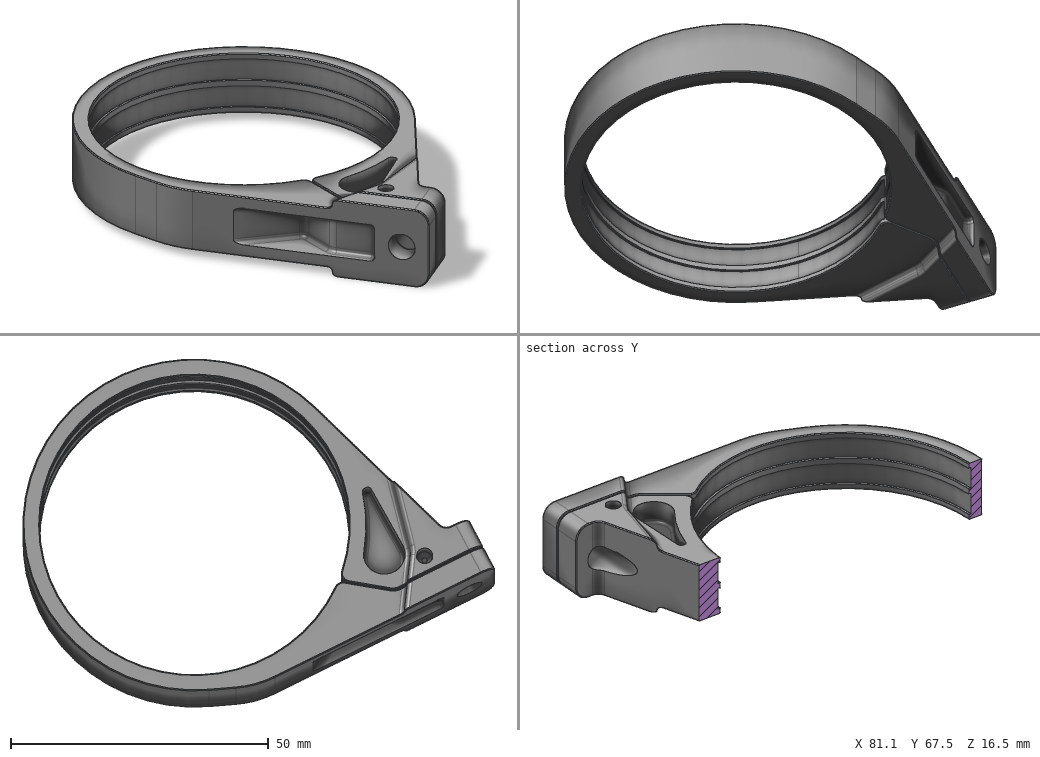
import cadquery as cq
import math

bore_radius = 30.0
ring_radius = 33.25
ring_height = 12.7
ear_height = 16.5
ear_end_x = 47.88
front_y = -34.28
ear_back_y = -23.25
ear_corner_radius = 3.0
edge_break = 0.2

back_flank_tilt = 18.0
back_flank_blend = 2.0
front_flank_tilt = 22.2
front_flank_blend = 20.5

step_start = (28.15, front_y)
step_bend = (34.85, -23.95)
step_end = (39.33, -4.95)
step_bend_radius = 5.0
step_blend = (ear_height - ring_height) / 4 - 0.01

rib_height = 1.2
groove_depth = 0.5

slit_width = 0.2
slit_y = -29.35
slit_bend_x = 28.72
slit_tilt = 37.0
slit_bend_radius = 3.0
slit_mouth_radius = 1.7

wall_radius = 33.25
front_pocket_end_x = 36.85
front_pocket_height = 7.8
front_pocket_floor_y = -32.4
front_pocket_apex_x = 20.65
front_pocket_start_x = 8.25
front_pocket_apex_radius = 1.75
front_pocket_bend_radius = 2.75
front_pocket_end_radius = 1.1
front_pocket_edge_blend = 1.0

teardrop_bearing = -36.1
teardrop_radius = 4.0
teardrop_tip = (33.75, -8.45)
teardrop_depth = 4.6
teardrop_tip_radius = 0.78
teardrop_floor_blend = 0.75

bolt_x = 42.35
bolt_diameter = 5.4
pin_centre = (36.7, -26.25)
pin_radius = 1.55
pin_tip_radius = 0.5
pin_depth = 3.0
pin_cone_height = 0.6

angle_tolerance = 0.01
line_tolerance = 0.1
step_line_tolerance = 0.3
reach = 100.0


def polar(radius, degrees, centre=(0, 0)):
    """Point at a radius and bearing from a centre."""
    angle = math.radians(degrees)
    return (centre[0] + radius * math.cos(angle), centre[1] + radius * math.sin(angle))


def near(x, y, size=line_tolerance):
    """Selector for upright edges standing close to (x, y)."""
    return cq.selectors.BoxSelector((x - size, y - size, -reach), (x + size, y + size, reach))


def near_y(y):
    """Selector for edges lying at a given y."""
    low = (-reach, y - line_tolerance, -reach)
    high = (reach, y + line_tolerance, reach)
    return cq.selectors.BoxSelector(low, high)


def outline(height):
    """Ring disc with two tangent flanks running into the ear."""
    back_tangent = polar(ring_radius, back_flank_tilt)
    front_tangent = polar(ring_radius, 270 - front_flank_tilt)
    back_tilt = math.radians(back_flank_tilt)
    front_tilt = math.radians(front_flank_tilt)
    back_corner_x = back_tangent[0] + (back_tangent[1] - ear_back_y) * math.tan(back_tilt)
    front_corner_x = front_tangent[0] + (front_tangent[1] - front_y) / math.tan(front_tilt)
    body = (
        cq.Workplane("XY")
        .workplane(offset=-height / 2)
        .moveTo(*back_tangent)
        .threePointArc(polar(ring_radius, 135), front_tangent)
        .lineTo(front_corner_x, front_y)
        .lineTo(ear_end_x, front_y)
        .lineTo(ear_end_x, ear_back_y)
        .lineTo(back_corner_x, ear_back_y)
        .close()
        .extrude(height)
    )
    body = body.edges(near(back_corner_x, ear_back_y)).fillet(back_flank_blend)
    return body.edges(near(front_corner_x, front_y)).fillet(front_flank_blend)


def ear():
    """Full-height part of the outline beyond the step line."""
    region = (
        cq.Workplane("XY")
        .workplane(offset=-ear_height / 2)
        .polyline([step_start, (ear_end_x, front_y), (ear_end_x, step_end[1]), step_end, step_bend])
        .close()
        .extrude(ear_height)
        .edges(near(*step_bend))
        .fillet(step_bend_radius)
    )
    return outline(ear_height).intersect(region)


def blend_step(body):
    """Concave blend at the foot and convex blend at the brow of both steps."""
    def is_step_edge(edge):
        point = edge.Center()
        start, end = (step_start, step_bend) if point.y < step_bend[1] else (step_bend, step_end)
        run_x, run_y = end[0] - start[0], end[1] - start[1]
        area = (point.x - start[0]) * run_y - (point.y - start[1]) * run_x
        is_level = abs(edge.tangentAt(0.5).z) < angle_tolerance
        return is_level and abs(area) / math.hypot(run_x, run_y) < step_line_tolerance

    return body.newObject([edge for edge in body.edges().vals() if is_step_edge(edge)]).fillet(step_blend)


def break_edges(body):
    """Small chamfer wherever an upright side of the part meets another face, end face aside."""
    def is_side(face):
        normal = face.normalAt()
        return abs(normal.z) < angle_tolerance and normal.x < 1 - angle_tolerance

    def is_rim(edge):
        return sum(is_side(face) for face in sides if edge in face.Edges()) == 1

    sides = [face for face in body.faces().vals() if is_side(face)]
    return body.newObject([edge for edge in body.edges().vals() if is_rim(edge)]).chamfer(edge_break)


def slit_mouth():
    """Point where the centre line of the slit meets the bore."""
    along = polar(1, -slit_tilt)
    across = polar(1, 90 - slit_tilt)
    clearance = slit_bend_x * across[0] + slit_y * across[1]
    travel = math.sqrt(bore_radius ** 2 - clearance ** 2)
    return (clearance * across[0] + travel * along[0], clearance * across[1] + travel * along[1])


def slit():
    """Thin cut from the bore to the ear end, bent once."""
    tilt = math.radians(slit_tilt)
    half = slit_width / 2
    shift = half * math.tan(tilt / 2)
    leg_x = slit_bend_x / 2
    leg_y = leg_x * math.tan(tilt)
    inner_end = (slit_bend_x - leg_x, slit_y + leg_y)
    normal_bearing = 90 - slit_tilt
    upper_bend = (slit_bend_x + shift, slit_y + half)
    lower_bend = (slit_bend_x - shift, slit_y - half)
    cutter = (
        cq.Workplane("XY")
        .workplane(offset=-ear_height)
        .polyline([
            (reach, slit_y - half),
            (reach, slit_y + half),
            upper_bend,
            polar(half, normal_bearing, inner_end),
            polar(-half, normal_bearing, inner_end),
            lower_bend,
        ])
        .close()
        .extrude(2 * ear_height)
    )
    cutter = cutter.edges(near(*upper_bend, size=slit_width / 4)).fillet(slit_bend_radius - half)
    return cutter.edges(near(*lower_bend, size=slit_width / 4)).fillet(slit_bend_radius + half)


def cut_bore_and_slit(body):
    """Plain bore and slit, with the slit mouth rounded into the bore."""
    bore = cq.Workplane("XY").circle(bore_radius).extrude(ring_height, both=True)
    body = body.cut(bore).cut(slit())
    mouth = near(*slit_mouth(), size=2 * slit_width)
    return body.edges("|Z").edges(mouth).fillet(slit_mouth_radius)


def bore_grooves():
    """Two wide shallow grooves that leave a rib at each rim and one between."""
    groove_height = (ring_height - 3 * rib_height) / 2
    groove = cq.Workplane("XY").circle(bore_radius + groove_depth).extrude(groove_height)
    upper = groove.translate((0, 0, rib_height / 2))
    lower = groove.translate((0, 0, -rib_height / 2 - groove_height))
    return upper.union(lower)


def front_pocket():
    """Pocket in the front face: a ramp, a rise along the slit and a flat floor."""
    tilt = math.tan(math.radians(slit_tilt))
    offset = slit_y - front_pocket_floor_y
    bend_x = slit_bend_x - offset * math.tan(math.radians(slit_tilt / 2))
    apex = (front_pocket_apex_x, front_pocket_floor_y + (bend_x - front_pocket_apex_x) * tilt)
    bend = (bend_x, front_pocket_floor_y)
    half = front_pocket_height / 2
    cutter = (
        cq.Workplane("XY")
        .workplane(offset=-half)
        .polyline([
            (front_pocket_start_x, front_y),
            apex,
            bend,
            (front_pocket_end_x, front_pocket_floor_y),
            (front_pocket_end_x, front_y),
        ])
        .close()
        .extrude(front_pocket_height)
    )
    cutter = cutter.edges(near(*apex)).fillet(front_pocket_apex_radius)
    cutter = cutter.edges(near(*bend)).fillet(front_pocket_bend_radius)
    cutter = cutter.edges(near(front_pocket_end_x, front_pocket_floor_y)).fillet(front_pocket_end_radius)
    mouth = near_y(front_y)
    return cutter.edges("#Z").edges(cq.selectors.InverseSelector(mouth)).fillet(front_pocket_edge_blend)


def teardrop_pocket():
    """Blind pocket between a wall concentric with the bore and a straight wall."""
    centre = polar(wall_radius + teardrop_radius, teardrop_bearing)
    tip_x, tip_y = teardrop_tip
    tip_bearing = math.degrees(math.asin(tip_y / wall_radius))
    mid_bearing = (tip_bearing + teardrop_bearing) / 2
    dx, dy = tip_x - centre[0], tip_y - centre[1]
    tangent_bearing = math.degrees(math.atan2(dy, dx) - math.acos(teardrop_radius / math.hypot(dx, dy)))
    cutter = (
        cq.Workplane("XY")
        .workplane(offset=ring_height / 2 - teardrop_depth)
        .moveTo(tip_x, tip_y)
        .lineTo(*polar(wall_radius, tip_bearing))
        .threePointArc(polar(wall_radius, mid_bearing), polar(wall_radius, teardrop_bearing))
        .threePointArc(polar(teardrop_radius, 270, centre), polar(teardrop_radius, tangent_bearing, centre))
        .close()
        .extrude(ear_height)
    )
    cutter = cutter.edges("|Z").edges(near_y(tip_y)).fillet(teardrop_tip_radius)
    return cutter.faces("<Z").edges().fillet(teardrop_floor_blend)


def bolt_hole():
    """Clamping bolt hole straight through both jaws."""
    return cq.Workplane("XZ").center(bolt_x, 0).circle(bolt_diameter / 2).extrude(reach, both=True)


def pin_hole():
    """Blind hole with a conical bottom."""
    top = ear_height / 2
    profile = (
        cq.Workplane("XZ")
        .polyline([
            (0, top),
            (pin_radius, top),
            (pin_radius, top - pin_depth),
            (pin_tip_radius, top - pin_depth - pin_cone_height),
            (0, top - pin_depth - pin_cone_height),
        ])
        .close()
    )
    return profile.revolve(360, (0, 0, 0), (0, 1, 0)).translate((*pin_centre, 0))


def build():
    """Ring and ear, then edge treatments, then pockets and holes."""
    body = outline(ring_height).union(ear())
    body = body.faces(">X").edges("|Y").fillet(ear_corner_radius)
    body = blend_step(body)
    body = cut_bore_and_slit(body)
    body = break_edges(body)
    for cutter in (bore_grooves(), front_pocket(), teardrop_pocket(), bolt_hole(), pin_hole()):
        body = body.cut(cutter)
    return body


result = build()